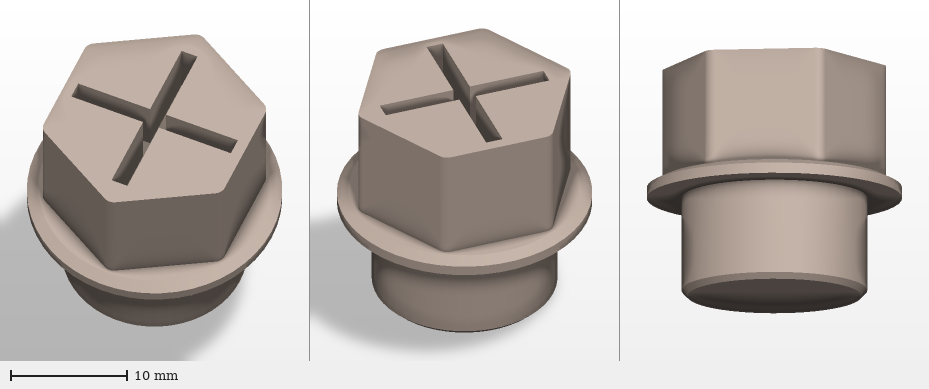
import cadquery as cq

total_height = 20.0
head_height = 10.0
flange_thickness = 1.4
spigot_height = total_height - head_height - flange_thickness

spigot_diameter = 16.0
spigot_chamfer = 0.5

flange_diameter = 22.0
flange_bevel_height = 0.5
flange_bevel_width = 1.0

head_across_flats = 17.0
head_corner_radius = 1.0
head_side_count = 6

slot_length = 15.0
slot_width = 1.5
slot_depth = 5.0

flange_top = spigot_height + flange_thickness


def make_turned_body():
    """Spigot and flange, revolved about Z with the spigot end at Z = 0."""
    spigot_radius = spigot_diameter / 2
    flange_radius = flange_diameter / 2
    half_profile = (
        cq.Workplane("XZ")
        .lineTo(spigot_radius - spigot_chamfer, 0)
        .lineTo(spigot_radius, spigot_chamfer)
        .lineTo(spigot_radius, spigot_height)
        .lineTo(flange_radius, spigot_height)
        .lineTo(flange_radius, flange_top - flange_bevel_height)
        .lineTo(flange_radius - flange_bevel_width, flange_top)
        .lineTo(0, flange_top)
        .close()
    )
    return half_profile.revolve(360, (0, 0), (0, 1))


def make_head():
    """Hexagonal head with rounded corners, two of them on the Y axis."""
    return (
        cq.Workplane("XY", origin=(0, 0, flange_top))
        .polygon(head_side_count, head_across_flats, circumscribed=True)
        .extrude(head_height)
        .edges("|Z")
        .fillet(head_corner_radius)
    )


def make_cross_slot():
    """Cross-shaped cutter, sunk into the top of the head."""
    slot_plane = cq.Workplane("XY", origin=(0, 0, total_height))
    slot_along_x = slot_plane.rect(slot_length, slot_width).extrude(-slot_depth)
    slot_along_y = slot_plane.rect(slot_width, slot_length).extrude(-slot_depth)
    return slot_along_x.union(slot_along_y)


result = make_turned_body().union(make_head()).cut(make_cross_slot())